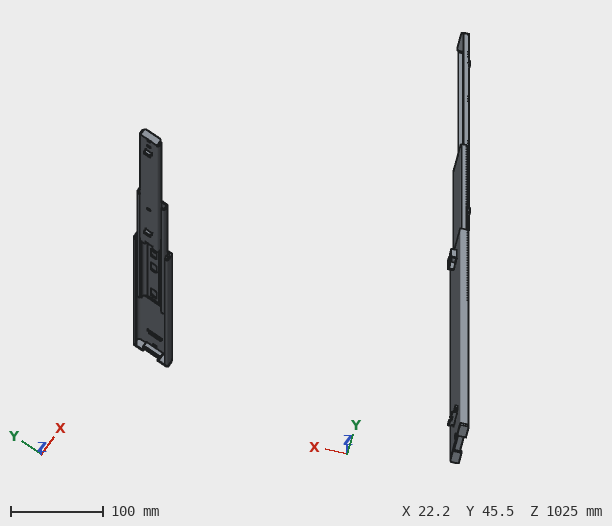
import cadquery as cq

OVERALL_LENGTH = 1025.0
OVERALL_DEPTH = 22.21
OUTER_WIDTH = 45.46
SHEET = 1.4
BEND_RADIUS = 2.0
OUTER_BACK_RADIUS = 1.0
OUTER_RACEWAY_RADIUS = 3.5

SLIDE_DEPTH = 12.7
DRAWER_HOOK_REACH = 3.2
INNER_BACK_X = DRAWER_HOOK_REACH
OUTER_BACK_X = INNER_BACK_X + SLIDE_DEPTH
OUTER_OPEN_X = 6.2
MIDDLE_OPEN_X = 6.4
WEB_CLEARANCE = 0.5
MIDDLE_BACK_X = OUTER_BACK_X - SHEET - WEB_CLEARANCE
INNER_OPEN_X = 9.5
INNER_WIDTH = 25.2
MIDDLE_WIDTH = 36.4
OUTER_LIP = 2.6
MIDDLE_LIP = 2.8

BUMPER_FOOT_HEIGHT = 5.0
OUTER_BOTTOM, OUTER_TOP = BUMPER_FOOT_HEIGHT, 500.0
MIDDLE_BOTTOM, MIDDLE_TOP = 238.0, 725.0
INNER_BOTTOM, INNER_TOP = 525.0, 1021.0

END_TAB_WIDTH = 22.0
END_TAB_X = 11.5
END_TAB_RADIUS = 2.5
END_NOTCH_WIDTH = 4.0
END_NOTCH_DEPTH = 7.0
SCREW_HOLE_DIAMETER = 5.0
INNER_HOLE_HEIGHTS = (993.5, 698.0)
DRAWER_HOOK_HEIGHTS = (967.5, 593.5)
DRAWER_WINDOW = 9.0
DRAWER_HOOK_WIDTH = 8.0
INNER_SLOT_WIDTH = 9.5
INNER_SLOT_DEPTH = 11.0

MIDDLE_SLOT_WIDTH = 8.0
MIDDLE_SLOT_LENGTH = 35.0
MIDDLE_SLOT_HEIGHTS = (456.0, 391.5, 270.5)

HOOK_WIDTH = 16.0
HOOK_NOTCH_WIDTH = 4.0
HOOK_NOTCH_DEPTH = 3.0
UPPER_HOOK_BOTTOM, UPPER_HOOK_TOP = 456.0, 475.0
LOWER_HOOK_BOTTOM, LOWER_HOOK_TOP = 59.0, 65.5
BRIDGE_WIDTH = 22.0
BRIDGE_REACH = 2.5
BRIDGE_BOTTOM, BRIDGE_TOP = 67.0, 72.5
OUTER_SLOT_HEIGHT = 18.5
OUTER_SLOT_LENGTH = 7.0

CAGE_PLATE = 1.0
CAGE_BEND_RADIUS = 2.0
CAGE_WINDOW_WIDTH = 15.0
CAGE_CROSSBAR = 4.0
INNER_CAGE_TOP = 570.0
OUTER_CAGE_BOTTOM = 250.0
OUTER_CAGE_X0, OUTER_CAGE_X1 = 8.0, 11.0

BUMPER_BAR_WIDTH = 22.0
BUMPER_BAR_TOP = 11.0
BUMPER_BAR_BOTTOM = 4.0
BUMPER_BAR_X = 8.0
BUMPER_BAR_CHAMFER = 1.5
BUMPER_GAP = 19.0


def block(x0, x1, y0, y1, z0, z1):
    """Box given by its limits along each axis."""
    return cq.Workplane().box(x1 - x0, y1 - y0, z1 - z0, centered=False).translate((x0, y0, z0))


def centred_block(x0, x1, width, z0, z1):
    """Box that is symmetric about the XZ plane."""
    return block(x0, x1, -width / 2, width / 2, z0, z1)


def channel(back_x, open_x, width, lip, z0, z1, back_radius=BEND_RADIUS, raceway_radius=0):
    """C-shaped rail with rounded bends; a nonzero lip turns in at the open side."""
    inward = 1 if open_x > back_x else -1
    low_x, high_x = sorted((back_x, open_x))
    body = centred_block(low_x, high_x, width, z0, z1)
    back_side, open_side = ("<X", ">X") if inward > 0 else (">X", "<X")
    body = body.edges("|Z and " + back_side).fillet(back_radius)
    if lip:
        body = body.edges("|Z and " + open_side).fillet(BEND_RADIUS)
    cavity_back = back_x + inward * SHEET
    cavity_open = open_x - inward * SHEET if lip else open_x
    cavity_x = sorted((cavity_back, cavity_open))
    cavity = centred_block(*cavity_x, width - 2 * SHEET, z0, z1)
    if raceway_radius:
        cavity = cavity.edges("|Z and " + back_side).fillet(raceway_radius)
    body = body.cut(cavity)
    if lip:
        mouth_x = sorted((cavity_open, open_x))
        body = body.cut(centred_block(*mouth_x, width - 2 * SHEET - 2 * lip, z0, z1))
    return body


def web_hole(web_x, height):
    """Round screw hole through a rail web that starts at web_x."""
    hole = cq.Workplane("YZ").center(0, height).circle(SCREW_HOLE_DIAMETER / 2)
    return hole.extrude(SHEET).translate((web_x, 0, 0))


def drawer_hook(height):
    """L-shaped hook bent out of its window toward the drawer."""
    window_top = height + DRAWER_WINDOW / 2
    window_bottom = height - DRAWER_WINDOW / 2
    arm = centred_block(0, INNER_BACK_X + SHEET, DRAWER_HOOK_WIDTH, window_top - SHEET, window_top)
    lip = centred_block(0, SHEET, DRAWER_HOOK_WIDTH, window_bottom, window_top)
    return arm.union(lip)


def make_inner_rail():
    web_end = INNER_BACK_X + SHEET
    rail = channel(INNER_BACK_X, INNER_OPEN_X, INNER_WIDTH, 0, INNER_BOTTOM, INNER_TOP)
    rail = rail.union(centred_block(INNER_BACK_X, web_end, END_TAB_WIDTH, INNER_TOP, OVERALL_LENGTH))
    tab_bottom = OVERALL_LENGTH - SHEET
    tab = centred_block(INNER_BACK_X, END_TAB_X, END_TAB_WIDTH, tab_bottom, OVERALL_LENGTH)
    rail = rail.union(tab.edges("|Z and >X").fillet(END_TAB_RADIUS))
    notch_bottom = tab_bottom - END_NOTCH_DEPTH
    rail = rail.cut(centred_block(INNER_BACK_X, web_end, END_NOTCH_WIDTH, notch_bottom, tab_bottom))
    slot_top = INNER_BOTTOM + INNER_SLOT_DEPTH
    rail = rail.cut(centred_block(INNER_BACK_X, web_end, INNER_SLOT_WIDTH, INNER_BOTTOM, slot_top))
    for height in INNER_HOLE_HEIGHTS:
        rail = rail.cut(web_hole(INNER_BACK_X, height))
    for height in DRAWER_HOOK_HEIGHTS:
        half = DRAWER_WINDOW / 2
        rail = rail.cut(centred_block(INNER_BACK_X, web_end, DRAWER_WINDOW, height - half, height + half))
        rail = rail.union(drawer_hook(height))
    return rail


def make_middle_rail():
    rail = channel(MIDDLE_BACK_X, MIDDLE_OPEN_X, MIDDLE_WIDTH, MIDDLE_LIP, MIDDLE_BOTTOM, MIDDLE_TOP)
    for height in MIDDLE_SLOT_HEIGHTS:
        slot = cq.Workplane("YZ").center(0, height).slot2D(MIDDLE_SLOT_LENGTH, MIDDLE_SLOT_WIDTH, 90)
        rail = rail.cut(slot.extrude(SHEET).translate((MIDDLE_BACK_X - SHEET, 0, 0)))
    return rail


def hook_notch(bottom, top):
    """Cutter for the notch in the middle of a cabinet hook's outer face."""
    return centred_block(OVERALL_DEPTH - HOOK_NOTCH_DEPTH, OVERALL_DEPTH, HOOK_NOTCH_WIDTH, bottom, top)


def upper_cabinet_hook():
    """Hook with an arm at its top, a lip parallel to the web and a cheek at each side."""
    web_x = OUTER_BACK_X - SHEET
    lip_x = OVERALL_DEPTH - SHEET
    hook = centred_block(web_x, OVERALL_DEPTH, HOOK_WIDTH, UPPER_HOOK_BOTTOM, UPPER_HOOK_TOP)
    hollow_top = UPPER_HOOK_TOP - SHEET
    hook = hook.cut(centred_block(web_x, lip_x, HOOK_WIDTH - 2 * SHEET, UPPER_HOOK_BOTTOM, hollow_top))
    return hook.cut(hook_notch(UPPER_HOOK_BOTTOM, UPPER_HOOK_TOP))


def lower_cabinet_hook():
    """Tongue that leans out from the web toward its lower end."""
    web_x = OUTER_BACK_X - SHEET
    outline = [
        (web_x, LOWER_HOOK_TOP),
        (OUTER_BACK_X, LOWER_HOOK_TOP),
        (OVERALL_DEPTH, LOWER_HOOK_BOTTOM + SHEET),
        (OVERALL_DEPTH, LOWER_HOOK_BOTTOM),
        (OVERALL_DEPTH - SHEET, LOWER_HOOK_BOTTOM),
        (web_x, LOWER_HOOK_TOP - SHEET),
    ]
    tongue = cq.Workplane("XZ").polyline(outline).close().extrude(HOOK_WIDTH / 2, both=True)
    return tongue.cut(hook_notch(LOWER_HOOK_BOTTOM, LOWER_HOOK_TOP))


def make_outer_rail():
    web_x = OUTER_BACK_X - SHEET
    rail = channel(
        OUTER_BACK_X,
        OUTER_OPEN_X,
        OUTER_WIDTH,
        OUTER_LIP,
        OUTER_BOTTOM,
        OUTER_TOP,
        back_radius=OUTER_BACK_RADIUS,
        raceway_radius=OUTER_RACEWAY_RADIUS,
    )
    for bottom, top in ((UPPER_HOOK_BOTTOM, UPPER_HOOK_TOP), (LOWER_HOOK_BOTTOM, LOWER_HOOK_TOP)):
        rail = rail.cut(centred_block(web_x, OUTER_BACK_X, HOOK_WIDTH, bottom, top - SHEET))
    rail = rail.union(upper_cabinet_hook()).union(lower_cabinet_hook())
    bridge_x = OUTER_BACK_X + BRIDGE_REACH
    rail = rail.union(centred_block(web_x, bridge_x, BRIDGE_WIDTH, BRIDGE_BOTTOM, BRIDGE_TOP))
    hollow_width = BRIDGE_WIDTH - 2 * SHEET
    rail = rail.cut(centred_block(web_x, bridge_x - SHEET, hollow_width, BRIDGE_BOTTOM, BRIDGE_TOP))
    slot = cq.Workplane("YZ").center(0, OUTER_SLOT_HEIGHT)
    slot = slot.slot2D(OUTER_SLOT_LENGTH, SCREW_HOLE_DIAMETER, 90).extrude(SHEET)
    return rail.cut(slot.translate((web_x, 0, 0)))


def make_inner_cage():
    """Ball cage in the middle rail: two angle strips joined by crossbars at both ends."""
    plate_end = MIDDLE_BACK_X - SHEET
    width = MIDDLE_WIDTH - 2 * SHEET
    front_x = MIDDLE_OPEN_X + SHEET
    plate_x = plate_end - CAGE_PLATE
    cage = centred_block(front_x, plate_end, width, MIDDLE_BOTTOM, INNER_CAGE_TOP)
    trough = centred_block(front_x, plate_x, INNER_WIDTH, MIDDLE_BOTTOM, INNER_CAGE_TOP)
    cage = cage.cut(trough.edges("|Z and >X").fillet(CAGE_BEND_RADIUS))
    window_bottom = MIDDLE_BOTTOM + CAGE_CROSSBAR
    window_top = INNER_CAGE_TOP - CAGE_CROSSBAR
    return cage.cut(centred_block(plate_x, plate_end, CAGE_WINDOW_WIDTH, window_bottom, window_top))


def make_outer_cage(side):
    """Ball cage strip between the flanges of the middle and outer rails; side is +1 or -1."""
    limits = sorted((side * MIDDLE_WIDTH / 2, side * (OUTER_WIDTH / 2 - SHEET)))
    return block(OUTER_CAGE_X0, OUTER_CAGE_X1, *limits, OUTER_CAGE_BOTTOM, OUTER_TOP)


def make_end_bumper():
    """Bumper whose bar sits in the outer rail and whose two feet support the rail's lower end."""
    feet = centred_block(OUTER_OPEN_X, OUTER_BACK_X, OUTER_WIDTH, 0, BUMPER_FOOT_HEIGHT)
    feet = feet.edges("|Z").fillet(BEND_RADIUS)
    feet = feet.cut(centred_block(OUTER_OPEN_X, OUTER_BACK_X, BUMPER_GAP, 0, BUMPER_FOOT_HEIGHT))
    bar_back = OUTER_BACK_X - SHEET
    bar = centred_block(BUMPER_BAR_X, bar_back, BUMPER_BAR_WIDTH, BUMPER_BAR_BOTTOM, BUMPER_BAR_TOP)
    bar = bar.faces("<X").edges(">Z").chamfer(BUMPER_BAR_CHAMFER)
    return feet.union(bar)


outer_rail = make_outer_rail()
middle_rail = make_middle_rail()
inner_rail = make_inner_rail()
inner_cage = make_inner_cage()
outer_cages = [make_outer_cage(side) for side in (1, -1)]
end_bumper = make_end_bumper()

bodies = [outer_rail, middle_rail, inner_rail, inner_cage, *outer_cages, end_bumper]
result = cq.Compound.makeCompound([body.solids().val() for body in bodies])